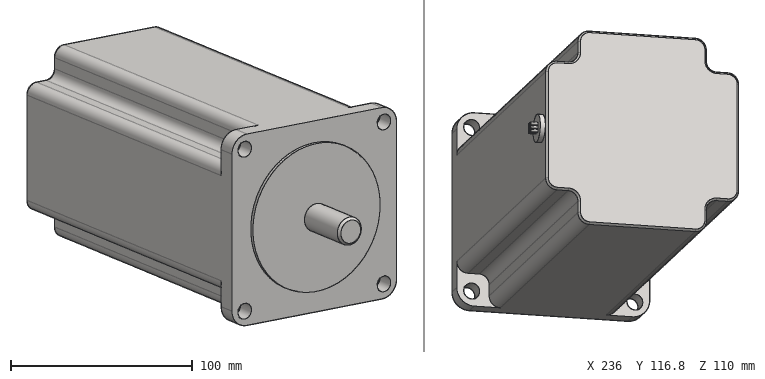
import cadquery as cq

total_length = 236.0
side = 110.0
flange_front = 200.5
flange_thickness = 10.6
flange_corner_radius = 10.0
hole_offset = 46.5
hole_diameter = 9.0

notch_depth = 18.5
notch_inner_radius = 5.7
notch_outer_radius = 6.4
rear_chamfer = 1.2

pilot_diameter = 85.0
pilot_height = 2.1
shaft_diameter = 16.0
shaft_chamfer = 1.5

gland_x = 9.7
gland_diameter = 15.5
gland_height = 2.8
wire_reach = 6.8
wire_diameter = 1.7
wire_spacing = 2.0
wires_per_row = 3

half_side = side / 2
flange_rear = flange_front - flange_thickness
pilot_front = flange_front + pilot_height


def make_body():
    """Square housing with a rounded notch along each long corner."""
    body = cq.Workplane("YZ").rect(side, side).extrude(flange_rear)
    notches = (
        cq.Workplane("YZ")
        .rect(side, side, forConstruction=True)
        .vertices()
        .rect(2 * notch_depth, 2 * notch_depth)
        .extrude(flange_rear)
    )
    body = body.cut(notches)
    inner = half_side - notch_depth
    reach = inner + notch_depth / 2
    inner_edges = cq.selectors.BoxSelector((-2.4, -reach, -reach), (total_length, reach, reach))
    body = body.edges(inner_edges).edges("|X").fillet(notch_inner_radius)
    for face in (">Y", "<Y", ">Z", "<Z"):
        body = body.faces(face).edges("|X").fillet(notch_outer_radius)
    return body.faces("<X").chamfer(rear_chamfer)


def make_flange():
    """Square mounting flange with four through holes."""
    return (
        cq.Workplane("YZ", origin=(flange_rear, 0, 0))
        .rect(side, side)
        .extrude(flange_thickness)
        .edges("|X")
        .fillet(flange_corner_radius)
        .faces(">X")
        .workplane(origin=(flange_front, 0, 0))
        .rect(2 * hole_offset, 2 * hole_offset, forConstruction=True)
        .vertices()
        .hole(hole_diameter)
    )


def make_pilot_and_shaft():
    """Centring boss and the output shaft with a chamfered end."""
    pilot = cq.Workplane("YZ", origin=(flange_front, 0, 0)).circle(pilot_diameter / 2).extrude(pilot_height)
    shaft = (
        cq.Workplane("YZ", origin=(pilot_front, 0, 0))
        .circle(shaft_diameter / 2)
        .extrude(total_length - pilot_front)
        .faces(">X")
        .chamfer(shaft_chamfer)
    )
    return pilot.union(shaft)


def make_cable_outlet():
    """Round gland on the +Y side with a square grid of wire stubs."""
    outlet_plane = cq.Workplane("XZ", origin=(gland_x, half_side, 0))
    gland = outlet_plane.circle(gland_diameter / 2).extrude(-gland_height)
    wires = (
        outlet_plane.rarray(wire_spacing, wire_spacing, wires_per_row, wires_per_row)
        .circle(wire_diameter / 2)
        .extrude(-wire_reach)
    )
    return gland.union(wires)


result = make_body().union(make_flange()).union(make_pilot_and_shaft()).union(make_cable_outlet())